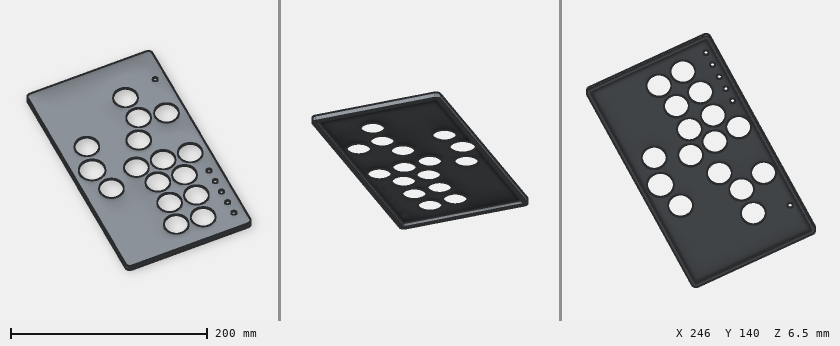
import cadquery as cq

length = 246.0
width = 140.0
height = 6.5
corner_radius = 5.0
top_chamfer = 0.5

panel_thickness = 2.0
rim_thickness = 4.0

button_diameter = 25.0
direction_buttons = [(-77.2, 20.7), (-48.2, 22.0), (-22.0, 9.8), (-41.8, 50.2)]
upper_action_buttons = [(11.5, 21.6), (38.4, 33.2), (67.2, 33.2), (95.7, 27.5)]
lower_action_buttons = [(9.0, -7.1), (35.5, 4.7), (64.5, 4.5), (92.7, -1.2)]
extra_button = (15.0, 50.5)

thumb_diameter = 27.0
thumb_x = -6.6
thumb_y = -49.5
side_thumb_spacing = 29.8
side_thumb_y = -41.5

small_diameter = 5.5
small_row_y = 58.0
small_row_start = 44.0
small_row_pitch = 15.0
small_row_count = 5
lone_small_x = -86.0


def make_tray():
    """Rounded plate with a chamfered top edge, hollowed from below."""
    body = cq.Workplane("XY").rect(length, width).extrude(height)
    body = body.edges("|Z").fillet(corner_radius)
    body = body.faces(">Z").edges().chamfer(top_chamfer)
    recess = (
        cq.Workplane("XY")
        .rect(length - 2 * rim_thickness, width - 2 * rim_thickness)
        .extrude(height - panel_thickness)
        .edges("|Z")
        .fillet(corner_radius - rim_thickness)
    )
    return body.cut(recess)


def drill(body, centers, diameter):
    """Cut round through holes at the given centres."""
    drills = cq.Workplane("XY").pushPoints(centers).circle(diameter / 2).extrude(height)
    return body.cut(drills)


side_thumb_buttons = [(thumb_x + side * side_thumb_spacing, side_thumb_y) for side in (-1, 1)]
button_centers = (
    direction_buttons + upper_action_buttons + lower_action_buttons + [extra_button] + side_thumb_buttons
)
small_centers = [(small_row_start + i * small_row_pitch, small_row_y) for i in range(small_row_count)]
small_centers.append((lone_small_x, small_row_y))

result = make_tray()
result = drill(result, button_centers, button_diameter)
result = drill(result, [(thumb_x, thumb_y)], thumb_diameter)
result = drill(result, small_centers, small_diameter)